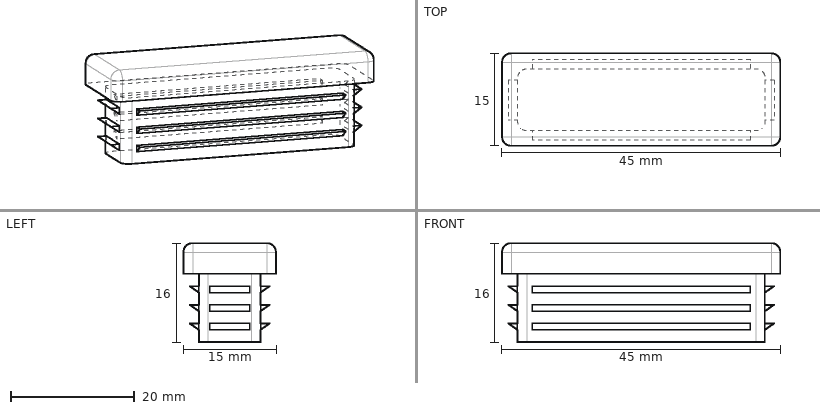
import cadquery as cq

cap_length = 45.0
cap_width = 15.0
cap_height = 5.0
edge_radius = 1.5

stem_length = 40.0
stem_width = 10.0
stem_height = 11.02

fin_reach = 1.5
fin_thickness = 1.05
fin_pitch = 3.0
fin_count = 3
top_fin_drop = 2.0
long_fin_length = 35.25
short_fin_length = 6.5
fin_root = 0.22


def rounded_block(length, width, height):
    """Upright block standing on Z = 0 with rounded vertical edges."""
    block = cq.Workplane("XY").box(length, width, height, centered=(True, True, False))
    return block.edges("|Z").fillet(edge_radius)


def fin(face_distance, length, top_z, angle):
    """Wedge on the stem face that looks along -Y, then turned about Z."""
    root_y = -face_distance + fin_root
    profile = [
        (root_y, top_z),
        (-face_distance - fin_reach, top_z),
        (-face_distance, top_z - fin_thickness),
        (root_y, top_z - fin_thickness),
    ]
    wedge = cq.Workplane("YZ").polyline(profile).close().extrude(length / 2, both=True)
    return wedge.rotate((0, 0, 0), (0, 0, 1), angle)


stem = rounded_block(stem_length, stem_width, stem_height)
cap = rounded_block(cap_length, cap_width, cap_height).faces(">Z").edges().fillet(edge_radius)
result = stem.union(cap.translate((0, 0, stem_height)))

for level in range(fin_count):
    top_z = stem_height - top_fin_drop - level * fin_pitch
    for angle in (0, 180):
        result = result.union(fin(stem_width / 2, long_fin_length, top_z, angle))
        result = result.union(fin(stem_length / 2, short_fin_length, top_z, angle + 90))